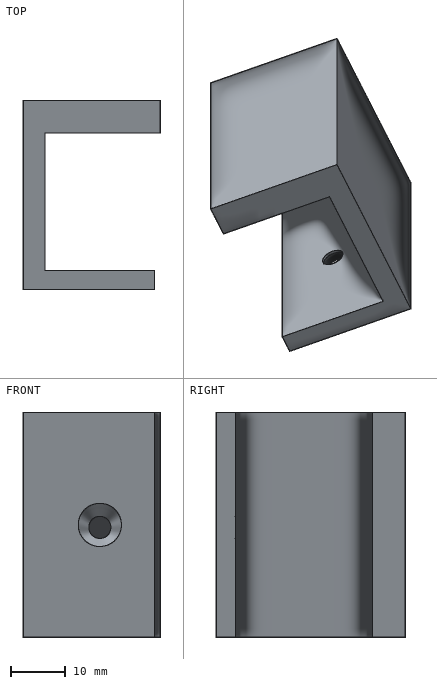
import cadquery as cq

height = 41.0
depth = 34.5
back_arm_length = 25.0
front_arm_length = 24.0

web_thickness = 4.0
back_arm_thickness = 6.0
front_arm_thickness = 3.5

hole_x = 14.0
hole_diameter = 4.0
hole_drop = 0.45
countersink_z = height / 2
countersink_diameter = 7.87
countersink_depth = 3.0


def channel():
    """U-shaped channel, open toward +X, with its outer corner at the origin."""
    outline = [
        (0, 0),
        (front_arm_length, 0),
        (front_arm_length, front_arm_thickness),
        (web_thickness, front_arm_thickness),
        (web_thickness, depth - back_arm_thickness),
        (back_arm_length, depth - back_arm_thickness),
        (back_arm_length, depth),
        (0, depth),
    ]
    return cq.Workplane("XY").polyline(outline).close().extrude(height)


def screw_hole():
    """Straight hole through the front arm, set slightly below mid-height."""
    return (
        cq.Workplane("XZ", origin=(hole_x, 0, countersink_z - hole_drop))
        .circle(hole_diameter / 2)
        .extrude(-front_arm_thickness)
    )


def countersink():
    """Oblique cone narrowing from a centred mouth to the lower screw hole."""
    return (
        cq.Workplane("XZ", origin=(hole_x, 0, countersink_z))
        .circle(countersink_diameter / 2)
        .workplane(offset=-countersink_depth)
        .center(0, -hole_drop)
        .circle(hole_diameter / 2)
        .loft(ruled=True)
    )


result = channel().cut(screw_hole()).cut(countersink())